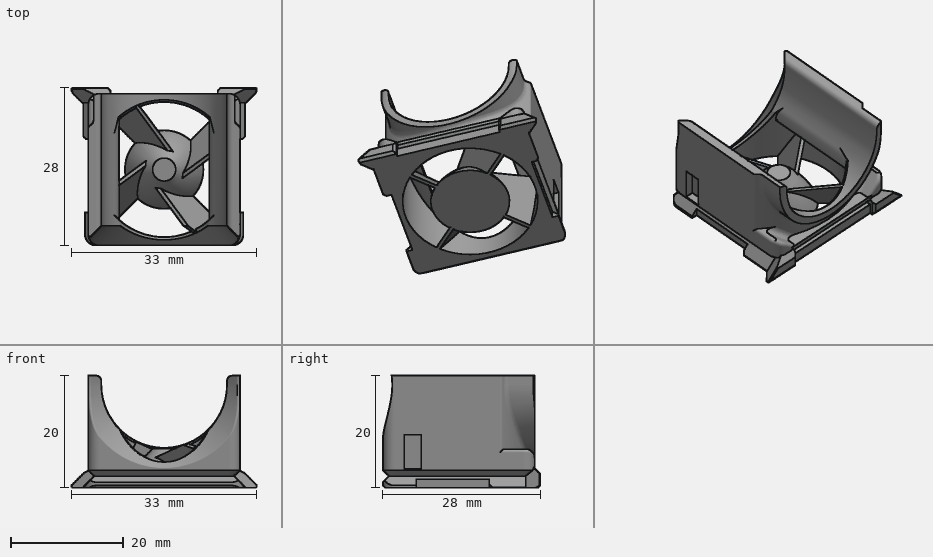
import cadquery as cq
import math

HEIGHT = 20.0
HALF_SIDE = 13.5
CORNER_RADIUS = 2.0
BACK_Y = 14.5

BORE_RADIUS = 11.15
BORE_Z = 18.3
FUNNEL_DEPTH = 3.55
FUNNEL_EDGE_FILLET = 0.3
WALL_TOP_FILLET = 1.0
SLEEVE_RADIUS = 12.55

GROOVE_TOP_Z = 3.15
GROOVE_DEPTH = 1.05
GROOVE_Z = GROOVE_TOP_Z - GROOVE_DEPTH
GROOVE_HALF = HALF_SIDE - GROOVE_DEPTH
FLANGE_HALF_BACK = 14.4
FLANGE_HALF_FRONT = 14.1
FLANGE_FRONT_END_Y = -7.6
FLANGE_BACK_START_Y = 5.4
FLANGE_BACK_CHAMFER = 0.5
FLANGE_RECESS_HALF = 13.0
FOOT_FRONT_CHAMFER = 0.45

HOOK_INNER_X = 9.5
HOOK_TIP_X = 16.49
HOOK_SIDE_SLOPE = 17.2
HOOK_TOP_SLOPE = 16.95
HOOK_FRONT_SLOPE = 2.7
HOOK_FRONT_Y = 10.0
HOOK_CHAMFER = 0.5
HOOK_SLOPE_CHAMFER = 0.3

POCKET_LENGTH = 3.0
POCKET_HEIGHT = 6.1
POCKET_DEPTH = 1.5
POCKET_Y = -8.2
POCKET_BOTTOM_Z = 3.4

RELIEF_Z = 6.9
RELIEF_LOW_Z = 4.0
RELIEF_SHOULDER_X = 12.5
RELIEF_LOW_X = 9.0
RELIEF_EDGE_FILLET = 0.6
RELIEF_INNER_FILLET = 1.0
DUCT_OUTER_RADIUS = 20.6
DUCT_CENTER_Y = -8.0

FAN_RADIUS = 12.0
WINDOW_HALF_WIDTH = 8.0
WINDOW_RIM_BACK = 0.4
WINDOW_RIM_FRONT = 0.7
WINDOW_SIDE_RADIUS = 4.0
HUB_RADIUS = 7.0
HUB_TOP_RADIUS = 2.05
HUB_TOP_Z = 7.0
HUB_FLANK = (4.9, 3.7)
BLADE_COUNT = 4
BLADE_START_ANGLE = 45.0
BLADE_THICKNESS = 0.7
BLADE_LEAN = 0.56
BLADE_INNER_Z = 5.1
BLADE_OUTER_Z = 8.4

OVER = 1.0
CUTTER_SIZE = 100.0
MIN_EDGE = 0.05


def mirrored(shape):
    """Return the shape together with its copy on the other side of X = 0."""
    return shape.union(shape.mirror("YZ"))


def block(x_range, y_range, z_range):
    """Axis-aligned box from three (low, high) ranges."""
    lows, highs = zip(x_range, y_range, z_range)
    size = [high - low for low, high in zip(lows, highs)]
    return cq.Workplane("XY").box(*size, centered=False).translate(lows)


def along_y(points, y_start, y_end):
    """Extrude an XZ outline from y_start to y_end."""
    plane = cq.Workplane("XZ", origin=(0, y_start, 0))
    return plane.polyline(points).close().extrude(y_start - y_end)


def bore_cylinder(radius, y_start, y_end):
    """Cylinder on the bore axis."""
    plane = cq.Workplane("XZ", origin=(0, y_start, BORE_Z))
    return plane.circle(radius).extrude(y_start - y_end)


def make_body():
    side = 2 * HALF_SIDE
    body = cq.Workplane("XY").workplane(offset=GROOVE_Z).rect(side, side).extrude(HEIGHT - GROOVE_Z)
    body = body.edges("|Z").fillet(CORNER_RADIUS)
    return body.faces("<Z").chamfer(GROOVE_DEPTH)


def flange_side_outline():
    """YZ outline with the front slope and bottom bevel, as wide as the flange."""
    outline = [
        (-HALF_SIDE + FOOT_FRONT_CHAMFER, 0),
        (-HALF_SIDE, FOOT_FRONT_CHAMFER),
        (-HALF_SIDE, GROOVE_Z - GROOVE_DEPTH),
        (-GROOVE_HALF, GROOVE_Z),
        (HALF_SIDE, GROOVE_Z),
        (HALF_SIDE, 0),
    ]
    return cq.Workplane("YZ").polyline(outline).close().extrude(FLANGE_HALF_BACK, both=True)


def make_flange():
    slope_half = GROOVE_HALF + GROOVE_Z
    low_z = slope_half - FLANGE_HALF_BACK
    outline = [
        (-GROOVE_HALF, GROOVE_Z),
        (GROOVE_HALF, GROOVE_Z),
        (FLANGE_HALF_BACK, low_z),
        (FLANGE_HALF_BACK, 0),
        (-FLANGE_HALF_BACK, 0),
        (-FLANGE_HALF_BACK, low_z),
    ]
    flange = along_y(outline, -HALF_SIDE, HALF_SIDE)
    front_sides = block(
        (FLANGE_HALF_FRONT, FLANGE_HALF_BACK + OVER),
        (-HALF_SIDE - OVER, FLANGE_FRONT_END_Y),
        (-OVER, GROOVE_Z),
    )
    flange = flange.cut(mirrored(front_sides))
    flange = flange.edges("|Z and <Y").fillet(CORNER_RADIUS)
    flange = flange.intersect(flange_side_outline())
    recess = (
        cq.Workplane("XY")
        .polyline([
            (FLANGE_RECESS_HALF, FLANGE_FRONT_END_Y),
            (FLANGE_HALF_BACK + OVER, FLANGE_FRONT_END_Y),
            (FLANGE_HALF_BACK + OVER, FLANGE_BACK_START_Y + FLANGE_BACK_CHAMFER),
            (FLANGE_HALF_BACK, FLANGE_BACK_START_Y + FLANGE_BACK_CHAMFER),
            (FLANGE_HALF_BACK - FLANGE_BACK_CHAMFER, FLANGE_BACK_START_Y),
            (FLANGE_RECESS_HALF, FLANGE_BACK_START_Y),
        ])
        .close()
        .extrude(GROOVE_Z)
    )
    return flange.cut(mirrored(recess))


def make_hook():
    side_outline = [
        (HOOK_INNER_X, 0),
        (HOOK_TIP_X - HOOK_CHAMFER / 2, 0),
        (HOOK_TIP_X, HOOK_CHAMFER / 2),
        (HOOK_TIP_X, HOOK_SIDE_SLOPE - HOOK_TIP_X),
        (HALF_SIDE, HOOK_SIDE_SLOPE - HALF_SIDE),
        (HOOK_INNER_X, HOOK_SIDE_SLOPE - HALF_SIDE),
    ]
    hook = along_y(side_outline, HOOK_FRONT_Y, BACK_Y)
    top_z = HOOK_SIDE_SLOPE - HALF_SIDE
    back_outline = [
        (HOOK_FRONT_Y, 0),
        (BACK_Y - HOOK_CHAMFER, 0),
        (BACK_Y, HOOK_CHAMFER),
        (BACK_Y, HOOK_TOP_SLOPE - BACK_Y),
        (HOOK_TOP_SLOPE - top_z, top_z),
        (HOOK_FRONT_Y, top_z),
    ]
    hook = hook.intersect(
        cq.Workplane("YZ").polyline(back_outline).close().extrude(HOOK_TIP_X)
    )
    hook = hook.edges("|Z and <X and >Y").chamfer(HOOK_CHAMFER)
    front_plane = cq.Plane(
        origin=(0, -HOOK_FRONT_SLOPE, 0), xDir=(1, 1, 0), normal=(1, -1, 1)
    )
    ahead = cq.Workplane(front_plane).rect(CUTTER_SIZE, CUTTER_SIZE).extrude(CUTTER_SIZE)
    hook = hook.cut(ahead)

    def between_slope_and_back(edge):
        box = edge.BoundingBox()
        sloped = box.xlen > OVER and abs(box.xlen - box.zlen) < MIN_EDGE
        return sloped and box.ymin > BACK_Y - MIN_EDGE

    return hook.edges().filter(between_slope_and_back).chamfer(HOOK_SLOPE_CHAMFER)


def make_bore():
    reach = HALF_SIDE + OVER
    bore = bore_cylinder(BORE_RADIUS, -reach, reach)
    throat = block((-BORE_RADIUS, BORE_RADIUS), (-reach, reach), (BORE_Z, HEIGHT + OVER))
    return bore.union(throat)


def make_funnel():
    large = BORE_RADIUS + FUNNEL_DEPTH
    cone = cq.Solid.makeCone(
        large, BORE_RADIUS, FUNNEL_DEPTH, cq.Vector(0, -HALF_SIDE, BORE_Z), cq.Vector(0, 1, 0)
    )
    return cq.Workplane(cone)


def make_relief():
    """Space outside the sleeve and behind the fan duct, open to the back and sides."""
    outer = HALF_SIDE + OVER
    outline = [
        (-outer, RELIEF_Z),
        (-RELIEF_SHOULDER_X, RELIEF_Z),
        (-RELIEF_LOW_X, RELIEF_LOW_Z),
        (RELIEF_LOW_X, RELIEF_LOW_Z),
        (RELIEF_SHOULDER_X, RELIEF_Z),
        (outer, RELIEF_Z),
        (outer, HEIGHT + OVER),
        (-outer, HEIGHT + OVER),
    ]
    relief = along_y(outline, 0, outer)
    duct = cq.Workplane("XY").center(0, DUCT_CENTER_Y).circle(DUCT_OUTER_RADIUS)
    relief = relief.cut(duct.extrude(HEIGHT + 2 * OVER))
    sleeve = bore_cylinder(SLEEVE_RADIUS, 0, outer)
    sleeve_sides = block((-SLEEVE_RADIUS, SLEEVE_RADIUS), (0, outer), (BORE_Z, HEIGHT + OVER))
    relief = relief.cut(sleeve).cut(sleeve_sides)

    def where_sleeve_meets_duct(edge):
        box = edge.BoundingBox()
        at_sleeve = abs(max(abs(box.xmin), abs(box.xmax)) - SLEEVE_RADIUS) < MIN_EDGE
        return at_sleeve and box.zlen > MIN_EDGE and box.ymax < HALF_SIDE

    return relief.edges().filter(where_sleeve_meets_duct).fillet(RELIEF_INNER_FILLET)


def make_window_strip():
    """Straight-sided slot along Y whose sides roll over, tangent to the bore."""
    center_x = WINDOW_HALF_WIDTH + WINDOW_SIDE_RADIUS
    center_distance = BORE_RADIUS + WINDOW_SIDE_RADIUS
    center_z = BORE_Z - math.sqrt(center_distance**2 - center_x**2)
    touch_angle = math.atan2(BORE_Z - center_z, center_x)

    def side_point(angle):
        return (
            center_x - WINDOW_SIDE_RADIUS * math.cos(angle),
            center_z + WINDOW_SIDE_RADIUS * math.sin(angle),
        )

    touch = side_point(touch_angle)
    half = (
        cq.Workplane("XZ", origin=(0, HALF_SIDE, 0))
        .lineTo(WINDOW_HALF_WIDTH, 0)
        .lineTo(WINDOW_HALF_WIDTH, center_z)
        .threePointArc(side_point(touch_angle / 2), touch)
        .lineTo(touch[0], BORE_Z)
        .lineTo(0, BORE_Z)
        .close()
        .extrude(2 * HALF_SIDE)
    )
    return mirrored(half)


def make_fan_opening():
    duct = cq.Workplane("XY").circle(FAN_RADIUS).extrude(BORE_Z)
    below_sleeve = duct.cut(bore_cylinder(SLEEVE_RADIUS, -HALF_SIDE, HALF_SIDE))
    return below_sleeve.union(duct.intersect(make_window_strip()))


def make_hub():
    return (
        cq.Workplane("XZ")
        .lineTo(HUB_RADIUS, 0)
        .threePointArc(HUB_FLANK, (HUB_TOP_RADIUS, HUB_TOP_Z))
        .lineTo(0, HUB_TOP_Z)
        .close()
        .revolve(360, (0, 0, 0), (0, 1, 0))
    )


def make_blade():
    """Leaning plate along +Y whose foot lies under the fan axis."""
    lean = BLADE_LEAN * BLADE_OUTER_Z
    half = BLADE_THICKNESS / 2
    section = [(-half, 0), (half, 0), (lean + half, BLADE_OUTER_Z), (lean - half, BLADE_OUTER_Z)]
    plate = along_y(section, 0, HALF_SIDE)
    elevation = [(0, 0), (FAN_RADIUS, 0), (FAN_RADIUS, BLADE_OUTER_Z), (0, BLADE_INNER_Z)]
    side = cq.Workplane("YZ").polyline(elevation).close().extrude(FAN_RADIUS, both=True)
    ring = cq.Workplane("XY").circle(FAN_RADIUS + WINDOW_RIM_BACK).extrude(HEIGHT)
    return plate.intersect(side).intersect(ring)


def make_pocket():
    half = POCKET_LENGTH / 2
    return block(
        (HALF_SIDE - POCKET_DEPTH, HALF_SIDE + OVER),
        (POCKET_Y - half, POCKET_Y + half),
        (POCKET_BOTTOM_Z, POCKET_BOTTOM_Z + POCKET_HEIGHT),
    )


def round_wall_tops(part):
    """Round the inner top edges of the two side walls."""
    def on_inner_top(edge):
        center = edge.Center()
        at_bore = abs(abs(center.x) - BORE_RADIUS) < MIN_EDGE
        return at_bore and abs(center.z - HEIGHT) < MIN_EDGE

    return part.edges().filter(on_inner_top).fillet(WALL_TOP_FILLET)


def round_funnel_edge(part):
    """Round the curved edge between the funnel and the front face and front corners."""
    def on_funnel_edge(edge):
        box = edge.BoundingBox()
        at_front = box.ymax < -HALF_SIDE + CORNER_RADIUS - MIN_EDGE
        curved = edge.geomType() != "LINE" and box.zlen > MIN_EDGE
        return at_front and curved and box.zmin > GROOVE_TOP_Z

    return part.edges().filter(on_funnel_edge).fillet(FUNNEL_EDGE_FILLET)


def round_relief_edges(part):
    """Round the rim of the relief on the side faces and the back corners."""
    corner_start = HALF_SIDE - CORNER_RADIUS - MIN_EDGE

    def on_relief_rim(edge):
        box = edge.BoundingBox()
        on_side = box.xlen < MIN_EDGE and abs(abs(box.xmin) - HALF_SIDE) < MIN_EDGE
        beside_back = min(abs(box.xmin), abs(box.xmax), box.ymin) > corner_start
        on_corner = beside_back and box.zmax < RELIEF_Z + MIN_EDGE
        at_height = box.zmin > RELIEF_LOW_Z and box.zmax > RELIEF_Z - MIN_EDGE
        return at_height and box.ymin > 0 and (on_side or on_corner)

    return part.edges().filter(on_relief_rim).fillet(RELIEF_EDGE_FILLET)


def bevel_window_end(part, side, bevel):
    """Bevel one curved end of the window: side is -1 for the front, 1 for the back."""
    def on_curved_end(edge):
        box = edge.BoundingBox()
        central = max(abs(box.xmin), abs(box.xmax)) < WINDOW_HALF_WIDTH + OVER
        across = box.xlen > WINDOW_HALF_WIDTH and box.zlen > MIN_EDGE
        above_foot = box.zmin > GROOVE_TOP_Z + OVER
        return central and across and above_foot and side * edge.Center().y > 0

    return part.edges().filter(on_curved_end).chamfer(bevel)


def make_shell():
    shell = round_wall_tops(make_body().cut(make_bore()))
    shell = round_funnel_edge(shell.cut(make_funnel()))
    shell = round_relief_edges(shell.cut(make_relief()))
    shell = shell.cut(make_fan_opening())
    shell = bevel_window_end(shell, -1, WINDOW_RIM_FRONT)
    shell = bevel_window_end(shell, 1, WINDOW_RIM_BACK)
    foot = make_flange().union(mirrored(make_hook())).cut(make_fan_opening())
    return shell.union(foot).cut(mirrored(make_pocket()))


def make_fan():
    fan = make_hub()
    for index in range(BLADE_COUNT):
        angle = BLADE_START_ANGLE + index * 360 / BLADE_COUNT
        fan = fan.union(make_blade().rotate((0, 0, 0), (0, 0, 1), angle))
    return fan.cut(make_bore()).cut(make_funnel())


result = make_shell().union(make_fan())